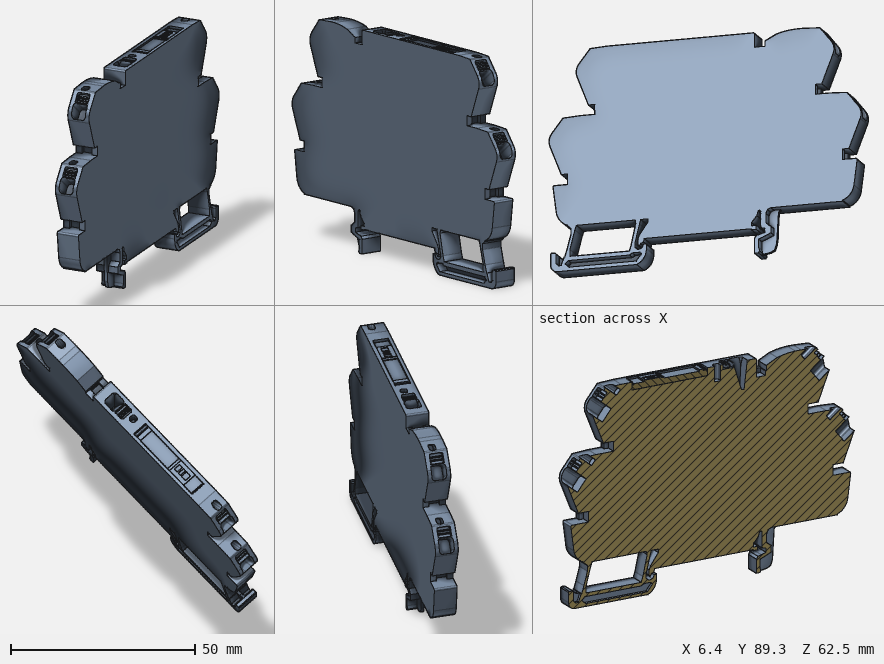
import cadquery as cq
import math


width = 6.4
height = 62.5
base_bottom = 12.6
base_top = 24.4
base_top_half = 43.6
base_bottom_half = 42.1
base_bottom_radius = 4.9
edge_radius = 0.45

tier_count = 2
tier_rise = 18.95
tier_inset = 7.8
tier_height = 16.2
neck_half = 39.4
under_half = 41.2
tip_half = 45.2
tip_rise = 10.2
tip_radius = 3.75
shoulder_half = 40.7
shoulder_drop = 0.3
shoulder_radius = 0.5
top_flat_half = 35.75
first_tier_bottom = height - tier_height - (tier_count - 1) * tier_rise
face_angle = math.degrees(math.atan2(tier_height - shoulder_drop - tip_rise, tip_half - shoulder_half))

neck_recess_width = 3.0
neck_recess_depth = 1.3

notch_start = -14.2
notch_end = -17.2
notch_floor = 58.4
notch_recess_length = 2.7
ramp_bottom = 59.9
dome_start = (-20.55, 61.6)
dome_middle = (-23.3, 62.2)
dome_end = (-26.2, height)

hole_size = 1.9
hole_corner = 0.6
hole_x = -0.5
hole_depth = 4.5
hole_reach = 1.8
hole_setback = 1.1
clip_offset = 3.2
clip_width = 3.75
clip_length = 2.9
clip_depth = 1.3
clip_corner = 0.5
clip_bar_drop = 0.4
clip_bar_width = 0.4
clip_bar_spacing = 0.9
pocket_offset = 7.0
pocket_width = 4.2
pocket_length = 4.3
pocket_corner = 1.0
pocket_depth = 5.4
funnel_depth = 8.9
funnel_end_width = 2.15
funnel_end_length = 0.4
funnel_end_shift = 0.9
top_terminal_y = -2.15

web_thickness = 0.9

cover_x = 0.1
cover_width = 4.3
cover_start = 1.1
cover_end = 24.4
cover_depth = 2.2
cover_drop = 0.5
pad_start = 14.5
pad_end = 20.9
pad_drop = 0.1
pad_step = 0.8
pad_step_drop = 0.3
end_groove_length = 0.45
end_groove_depth = 0.4
window_width = 1.9
window_depth = 0.3
windows = [(19.5, 1.6), (17.9, 0.8), (16.4, 1.2)]
bar_start = 2.3
bar_end = 3.7
ridge_centre = 1.7
ridge_radius = 0.4

overshoot = 0.9


def plate(points, thickness=width):
    """Polygon in the YZ plane, thickened evenly about X = 0."""
    return cq.Workplane("YZ").polyline(points).close().extrude(thickness / 2, both=True)


def block(x_centre, x_size, y_start, y_end, z_bottom, z_top):
    return cq.Workplane("XY").box(x_size, y_end - y_start, z_top - z_bottom).translate(
        (x_centre, (y_start + y_end) / 2, (z_bottom + z_top) / 2)
    )


def mirrored(points):
    """Closed outline from its +Y half, listed from bottom to top."""
    return points + [(-y, z) for y, z in reversed(points)]


def both_ends(part):
    return part.union(part.mirror("XZ"))


def tier_bottom(index):
    return first_tier_bottom + index * tier_rise


def tier(index):
    inset = index * tier_inset
    bottom = tier_bottom(index)
    shoulder = (shoulder_half - inset, bottom + tier_height - shoulder_drop)
    body = plate(mirrored([
        (under_half - inset, bottom),
        (tip_half - inset, bottom + tip_rise),
        shoulder,
        (top_flat_half - inset, bottom + tier_height),
    ]))
    body = body.edges("|X").edges(">Y or <Y").fillet(tip_radius)
    for side in (1, -1):
        corner = cq.selectors.NearestToPointSelector((0, side * shoulder[0], shoulder[1]))
        body = body.edges("|X").edges(corner).fillet(shoulder_radius)
    return body


def neck(index):
    """Narrow band below a tier, with a shallow recess in each end."""
    half = neck_half - index * tier_inset
    top = tier_bottom(index)
    bottom = base_top if index == 0 else tier_bottom(index - 1) + tier_height
    band = block(0, width, -half, half, base_bottom, top)
    recess = block(0, neck_recess_width, half - neck_recess_depth, half + overshoot, bottom, top)
    return band, both_ends(recess)


def base():
    body = plate(mirrored([(base_bottom_half, base_bottom), (base_top_half, base_top)]))
    body = body.edges("|X and <Z").fillet(base_bottom_radius)
    return body.edges("|X and >Z").fillet(edge_radius)


def top_notch():
    above = height + overshoot
    notch = (
        cq.Workplane("YZ")
        .moveTo(notch_start, above)
        .lineTo(notch_start, notch_floor)
        .lineTo(notch_end, notch_floor)
        .lineTo(notch_end, ramp_bottom)
        .lineTo(*dome_start)
        .threePointArc(dome_middle, dome_end)
        .lineTo(dome_end[0], above)
        .close()
        .extrude(width, both=True)
    )
    recess = block(
        0, neck_recess_width, notch_start - notch_recess_length, notch_start,
        notch_floor - neck_recess_depth, notch_floor,
    )
    return notch.union(recess)


def clip_recess():
    """Shallow recess with cross bars left standing in it."""
    recess = (
        cq.Workplane("XY", origin=(0, -clip_offset, -clip_depth))
        .rect(clip_width, clip_length)
        .extrude(clip_depth + overshoot)
        .edges("|Z and >Y")
        .fillet(clip_corner)
    )
    for place in (-clip_bar_spacing / 2, clip_bar_spacing / 2):
        bar_y = place - clip_offset
        recess = recess.cut(block(
            0, clip_width, bar_y - clip_bar_width / 2, bar_y + clip_bar_width / 2,
            -clip_depth, -clip_bar_drop,
        ))
    return recess


def wire_pocket(depth):
    """Straight pocket with rounded corners."""
    return (
        cq.Workplane("XY", origin=(0, -pocket_offset, -depth))
        .rect(pocket_width, pocket_length)
        .extrude(depth + overshoot)
        .edges("|Z")
        .fillet(pocket_corner)
    )


def wire_funnel():
    """Pocket that narrows to a short slot near its -Y end."""
    taper = (
        cq.Workplane("XY", origin=(0, -pocket_offset, 0))
        .rect(pocket_width, pocket_length)
        .workplane(offset=-funnel_depth)
        .center(0, -funnel_end_shift)
        .rect(funnel_end_width, funnel_end_length)
        .loft()
    )
    return taper.intersect(wire_pocket(funnel_depth))


def terminal(wire_entry):
    """Cutter for one terminal: hole axis on Z, the row running to -Y, the face at Z = 0."""
    hole = (
        cq.Workplane("XY", origin=(hole_x, 0, -hole_depth))
        .rect(hole_size, hole_size)
        .extrude(hole_depth + hole_reach)
        .edges("|Z")
        .fillet(hole_corner)
    )
    return hole.union(clip_recess()).union(wire_entry)


def nose_terminals(index):
    angle = math.radians(face_angle)
    y = -(shoulder_half - index * tier_inset) + hole_setback * math.cos(angle)
    z = tier_bottom(index) + tier_height - shoulder_drop + hole_setback * math.sin(angle)
    cutter = terminal(wire_pocket(pocket_depth))
    cutter = cutter.rotate((0, 0, 0), (1, 0, 0), face_angle).translate((0, y, z))
    return both_ends(cutter)


def rail_seat():
    """Block that rests on the rail, with a lip at each end and the full-width spring strip."""
    outline = [
        (16.35, base_bottom), (16.35, 11.7), (18.8, 8.3), (19.2, 7.2), (19.2, 5.6), (18.8, 5.0),
        (18.5, 5.8), (17.6, 6.2), (17.4, 7.15), (-13.2, 7.15), (-13.2, 6.9), (-14.7, 6.9),
        (-14.7, 8.0), (-13.3, 8.0), (-13.3, 8.85), (-14.8, 10.7), (-15.2, 12.0), (-15.55, 12.2),
        (-15.9, 11.9), (-15.9, 7.2), (-17.1, 7.0), (-17.1, 5.8), (-15.6, 5.4), (-14.6, 5.1),
        (-14.1, 4.3), (-14.1, 0.2), (-15.3, 0.2), (-15.6, 0.7), (-15.4, 1.6), (-15.4, 4.0),
        (-18.0, 5.1), (-18.9, 5.5), (-18.9, 7.4), (-17.4, 8.5), (-17.4, 11.1), (-17.9, 12.15),
        (-18.9, base_bottom), (-18.9, base_bottom + overshoot), (16.35, base_bottom + overshoot),
    ]
    web = [
        (-16.6, base_bottom + overshoot), (-20.7, base_bottom + overshoot), (-20.7, base_bottom),
        (-20.1, 11.9), (-19.6, 3.0), (-18.95, 1.3), (-17.9, 0.8), (-15.3, 0.4), (-15.3, 4.3),
        (-18.4, 5.7), (-18.4, 7.15), (-16.6, 8.5),
    ]
    return plate(outline).union(plate(web, web_thickness))


def rail_foot():
    """Sprung foot bar on two thin legs, lightened by pockets in both sides."""
    bar = (
        cq.Workplane("YZ")
        .moveTo(44.2, 5.1)
        .lineTo(44.2, 2.15)
        .threePointArc((43.8, 0.7), (42.2, 0))
        .lineTo(19.6, 0)
        .threePointArc((17.7, 1.4), (16.8, 4.3))
        .lineTo(16.8, 5.5)
        .lineTo(17.7, 5.5)
        .threePointArc((18.95, 4.3), (20.1, 5.1))
        .lineTo(21.7, 4.0)
        .lineTo(41.4, 4.0)
        .lineTo(42.2, 4.6)
        .lineTo(43.0, 5.4)
        .lineTo(44.0, 5.4)
        .close()
        .extrude(width / 2, both=True)
    )
    outer_leg = plate([
        (40.2, 3.9), (39.5, 6.2), (38.4, 10.2), (38.4, 11.9), (39.3, base_bottom),
        (38.4, base_bottom + overshoot), (37.2, base_bottom + overshoot),
        (36.8, base_bottom), (37.3, 11.35), (38.7, 5.9), (38.7, 3.9),
    ])
    inner_leg = plate([
        (21.7, 3.9), (21.2, 5.6), (19.8, 11.7), (20.1, base_bottom),
        (19.8, base_bottom + overshoot), (18.6, base_bottom + overshoot),
        (18.4, base_bottom), (18.8, 11.35), (20.1, 5.9), (20.1, 4.3),
    ])
    bar_pocket = [
        (40.0, 2.0), (39.1, 2.9), (21.6, 2.9), (20.8, 3.4), (18.7, 3.4), (18.2, 2.9),
        (19.75, 1.0), (38.9, 1.0),
    ]
    hook_pocket = [(42.6, 5.4), (42.6, 2.3), (42.0, 1.7), (41.2, 1.7), (40.3, 4.1)]
    pockets = plate(bar_pocket).union(plate(hook_pocket))
    pockets = pockets.cut(block(0, web_thickness, 0, tip_half, -overshoot, base_bottom))
    return bar.cut(pockets).union(outer_leg).union(inner_leg)


def cover_seat():
    return block(cover_x, cover_width, cover_start, cover_end, height - cover_depth, height + overshoot)


def build_housing():
    body = base()
    for index in range(tier_count):
        band, recesses = neck(index)
        body = body.union(band).union(tier(index)).cut(recesses)
    body = body.union(rail_seat()).union(rail_foot())
    body = body.cut(top_notch())
    notch_corner = cq.selectors.NearestToPointSelector((0, notch_start, height))
    body = body.edges("|X").edges(notch_corner).fillet(edge_radius)
    for index in range(tier_count):
        body = body.cut(nose_terminals(index))
    body = body.cut(terminal(wire_funnel()).translate((0, top_terminal_y, height)))
    return body.cut(cover_seat())


def build_cover():
    bottom = height - cover_depth
    face = height - cover_drop
    pad_top = height - pad_drop
    body = block(cover_x, cover_width, cover_start, cover_end, bottom, face)
    body = body.union(block(cover_x, cover_width, pad_start, pad_end, bottom, pad_top))
    step_end = pad_start + pad_step
    body = body.cut(block(
        cover_x, cover_width, pad_start, step_end, height - pad_step_drop, height,
    ))
    body = body.cut(block(
        cover_x, cover_width, cover_end - end_groove_length, cover_end, face - end_groove_depth, height,
    ))
    for centre, length in windows:
        body = body.cut(block(
            0, window_width, centre - length / 2, centre + length / 2,
            pad_top - window_depth, height,
        ))
    body = body.union(block(cover_x, cover_width, bar_start, bar_end, bottom, pad_top))
    ridge = (
        cq.Workplane("YZ", origin=(cover_x, ridge_centre, face))
        .circle(ridge_radius)
        .extrude(cover_width / 2, both=True)
    )
    return body.union(ridge)


housing = build_housing()
cover = build_cover()

result = cq.Compound.makeCompound([housing.val(), cover.val()])